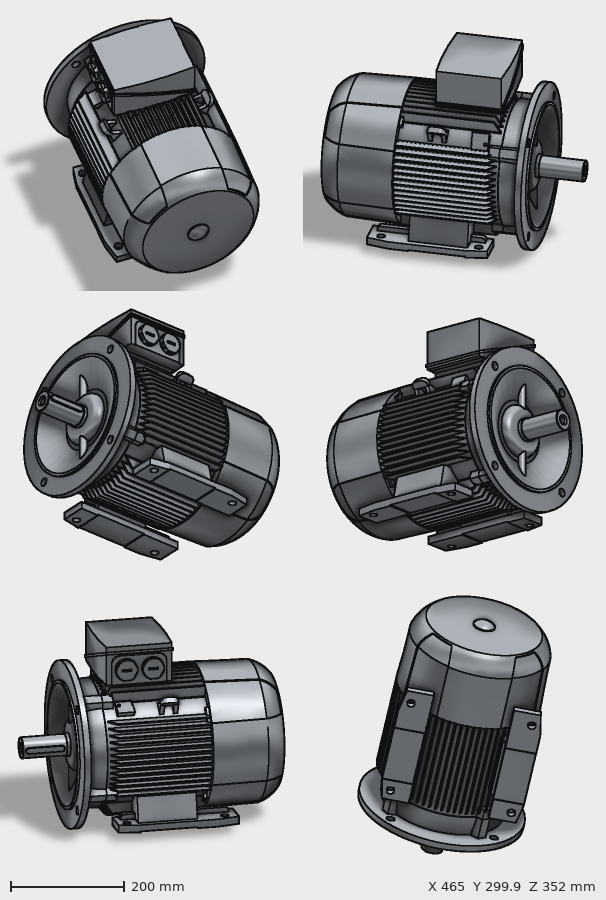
import cadquery as cq
import math


spigot_x = 76.0
flange_x = 80.0
flange_back_x = 92.0
housing_x = 130.5
cover_x = 320.0
cover_bend_x = 421.0
cover_end_x = 455.2
overall_length = 465.0

shaft_radius = 19.0
shoulder_radius = 21.0
centre_mouth_radius = 9.5
centre_hole_radius = 6.5
centre_hole_depth = 23.2
shaft_chamfer = 1.0
key_start_x = 4.5
key_end_x = 75.5
key_width = 10.0
key_bottom = 14.5
key_top = 22.5

flange_radius = 149.95
spigot_radius = 115.0
bowl_mouth_radius = 109.7
bowl_floor_radius = 57.0
bowl_floor_x = 102.5
boss_base_radius = 48.5
boss_face_radius = 33.0
boss_face_x = 86.5
neck_radius_front = 110.5
neck_radius_back = 116.0
neck_bulge_mid = (111.5, 114.5)
flange_hole_radius = 7.5
flange_hole_offset = 93.5
bowl_rib_radius = 7.0
bowl_rib_x = 95.0

lug_angle = 34.6
lug_radius = 125.5
lug_root_radius = 111.5
lug_top_width = 16.7
lug_base_width = 29.0
lug_end_x = 150.0

core_radius = 114.0
fin_tip_radius = 130.5
fin_thickness = 2.0
fin_pitch = 11.0
fins_per_side = 13
fin_start_x = 136.2
fin_full_x = 149.5
fin_root_radius = 79.0

eye_x = 248.0
eye_width = 33.0
eye_base_half = 14.0
eye_waist_half = 3.0
eye_tip_half = 5.5
eye_root_radius = 109.5
eye_waist_radius = 129.5
eye_tip_radius = 144.0
eye_corner_radius = 10.5
eye_opening_width = 17.5
eye_opening_top = 129.0

earth_tab_x = 154.5
earth_tab_length = 30.5
earth_tab_outline = [(-64.0, 96.0), (-96.3, 83.0), (-86.0, 72.5), (-56.0, 72.5)]
earth_screw_radius = 2.5
earth_screw_height = 2.0
earth_screw_x = 159.5
earth_screw_z = 90.0

clip_angle = 145.4
clip_length = 5.5
clip_width = 28.0
clip_root_radius = 107.0
clip_top_radius = 122.0

box_seat_x = 141.0
box_seat_length = 109.0
box_seat_half_width = 53.5
box_seat_top_z = 127.5

foot_start_x = 149.0
foot_end_x = 368.5
foot_top_z = -117.5
foot_thickness = 14.0
foot_inner_y = 72.5
foot_outer_y = 128.5
foot_tip_y = 121.0
foot_taper_front_x = 187.0
foot_taper_back_x = 328.0
foot_relief_end_x = 291.0
foot_relief = 2.0
foot_hole_radius = 7.0
foot_hole_x = 167.0
foot_hole_spacing = 178.0
foot_hole_y = 109.5
foot_rib_start_x = 160.0
foot_rib_end_x = 356.5
foot_rib_y = 85.5
foot_rib_width = 11.0
foot_rib_height = 9.5
foot_rib_round = 6.5
pedestal_start_x = 186.0
pedestal_end_x = 293.5
pedestal_top_z = -71.5
pedestal_top_y = 106.5
pedestal_bottom_y = 116.5
pedestal_inner_top_y = 56.0

cover_front_radius = 130.5
cover_bend_radius = 128.0
cover_end_radius = 105.0
cover_round_mid = (440.0, 119.0)
panel_edge = 57.5
panel_end_x = 452.0
panel_depth = 2.0
cap_radius = 19.5
cap_rim = 2.0

box_centre_x = 195.5
box_half_length = 59.5
box_side_bulge = 3.5
box_front_y = -83.2
box_back_y = 69.5
box_bottom_z = 131.5
box_top_z = 202.05
box_skirt_flare = 5.0
rim_overhang = 2.0
rim_thickness = 4.5
rim_front_z = 189.0
rim_back_z = 136.0
gland_plate_width = 100.5
gland_plate_top_z = 185.0
gland_plate_corner = 15.0
gland_plate_thickness = 1.5
plug_spacing = 48.5
plug_z = 159.5
plug_radius = 19.5
plug_collar = 3.5
plug_flats = 37.0
plug_head = 5.0
plug_slot_length = 17.0
plug_slot_width = 3.0
plug_slot_depth = 2.0


def revolved(profile):
    """Turn a half-profile drawn as (x, radius) about the shaft axis."""
    return profile.close().revolve(360, (0, 0, 0), (1, 0, 0))


def cylinder(start_x, end_x, radius):
    return cq.Workplane("YZ", origin=(start_x, 0, 0)).circle(radius).extrude(end_x - start_x)


def box(x_range, y_range, z_range):
    """Axis-aligned block between pairs of limits."""
    limits = (x_range, y_range, z_range)
    sizes = [high - low for low, high in limits]
    lows = tuple(low for low, high in limits)
    return cq.Workplane("XY").box(*sizes, centered=False).translate(lows)


def turned(shape, angle):
    """Turn a shape about the shaft axis, from +Y towards +Z."""
    return shape.rotate((0, 0, 0), (1, 0, 0), angle)


def mirrored_in_y(shape):
    return shape.mirror("XZ")


def make_key():
    length = key_end_x - key_start_x
    return (
        cq.Workplane("XZ", origin=((key_start_x + key_end_x) / 2, -key_bottom, 0))
        .slot2D(length, key_width)
        .extrude(key_top - key_bottom)
    )


def make_shaft():
    shaft = cylinder(0, flange_x, shaft_radius).faces("<X").chamfer(shaft_chamfer)
    shaft = shaft.union(cylinder(flange_x, housing_x, shoulder_radius))
    mouth_depth = centre_mouth_radius - centre_hole_radius
    centre_hole = revolved(
        cq.Workplane("XY")
        .moveTo(0, 0)
        .lineTo(0, centre_mouth_radius)
        .lineTo(mouth_depth, centre_hole_radius)
        .lineTo(centre_hole_depth, centre_hole_radius)
        .lineTo(centre_hole_depth + centre_hole_radius, 0)
    )
    return shaft.cut(centre_hole).cut(make_key())


def lugs(start_x, end_x):
    """Four tapered lugs, a quarter turn apart."""
    lug = (
        cq.Workplane("YZ", origin=(start_x, 0, 0))
        .moveTo(lug_root_radius, -lug_base_width / 2)
        .lineTo(lug_radius, -lug_top_width / 2)
        .lineTo(lug_radius, lug_top_width / 2)
        .lineTo(lug_root_radius, lug_base_width / 2)
        .close()
        .extrude(end_x - start_x)
    )
    ring = turned(lug, lug_angle)
    for quarter in range(1, 4):
        ring = ring.union(turned(lug, lug_angle + 90 * quarter))
    return ring


def bowl_ribs():
    """Two round bars, above and below the shaft, running from the boss into the bowl wall."""
    rib = (
        cq.Workplane("XY", origin=(bowl_rib_x, 0, boss_face_radius))
        .circle(bowl_rib_radius)
        .extrude(bowl_mouth_radius - boss_face_radius)
    )
    return rib.union(turned(rib, 180))


def make_shield():
    boss_rise = bowl_floor_x - boss_face_x
    boss_width = boss_base_radius - boss_face_radius
    boss_mid = (
        bowl_floor_x - boss_rise * math.sin(math.pi / 4),
        boss_face_radius + boss_width * math.cos(math.pi / 4),
    )
    shield = revolved(
        cq.Workplane("XY")
        .moveTo(boss_face_x, shoulder_radius)
        .lineTo(boss_face_x, boss_face_radius)
        .threePointArc(boss_mid, (bowl_floor_x, boss_base_radius))
        .lineTo(bowl_floor_x, bowl_floor_radius)
        .lineTo(spigot_x, bowl_mouth_radius)
        .lineTo(spigot_x, spigot_radius)
        .lineTo(flange_x, spigot_radius)
        .lineTo(flange_x, flange_radius)
        .lineTo(flange_back_x, flange_radius)
        .lineTo(flange_back_x, neck_radius_front)
        .threePointArc(neck_bulge_mid, (housing_x, neck_radius_back))
        .lineTo(housing_x, shoulder_radius)
    )
    bolt_holes = (
        cq.Workplane("YZ", origin=(flange_x, 0, 0))
        .rect(2 * flange_hole_offset, 2 * flange_hole_offset, forConstruction=True)
        .vertices()
        .circle(flange_hole_radius)
        .extrude(flange_back_x - flange_x)
    )
    shield = shield.union(lugs(flange_back_x, housing_x))
    return shield.cut(bolt_holes).union(bowl_ribs())


def fins():
    """Parallel fins on all four sides, trimmed to a round envelope with a tapered front."""
    last = (fins_per_side - 1) / 2 * fin_pitch
    comb = None
    for index in range(fins_per_side):
        middle = -last + index * fin_pitch
        limits = (middle - fin_thickness / 2, middle + fin_thickness / 2)
        for low in (-fin_tip_radius, fin_root_radius):
            reach = (low, low + fin_tip_radius - fin_root_radius)
            for y_range, z_range in ((reach, limits), (limits, reach)):
                fin = box((fin_start_x, cover_x), y_range, z_range)
                comb = fin if comb is None else comb.union(fin)
    envelope = revolved(
        cq.Workplane("XY")
        .moveTo(fin_start_x, 0)
        .lineTo(fin_start_x, core_radius)
        .lineTo(fin_full_x, fin_tip_radius)
        .lineTo(cover_x, fin_tip_radius)
        .lineTo(cover_x, 0)
    )
    return comb.intersect(envelope)


def lifting_eye():
    """Waisted wedge-shaped hoop standing out along +Y, before it is turned into place."""
    wedge = (
        cq.Workplane("YZ", origin=(eye_x - eye_width / 2, 0, 0))
        .moveTo(eye_root_radius, -eye_base_half)
        .lineTo(eye_waist_radius, -eye_waist_half)
        .lineTo(eye_tip_radius, -eye_tip_half)
        .lineTo(eye_tip_radius, eye_tip_half)
        .lineTo(eye_waist_radius, eye_waist_half)
        .lineTo(eye_root_radius, eye_base_half)
        .close()
        .extrude(eye_width)
    )
    arch = (
        cq.Workplane("XY", origin=(eye_x, 0, 0))
        .rect(eye_width, 2 * eye_tip_radius)
        .extrude(eye_base_half, both=True)
        .edges("|Z")
        .fillet(eye_corner_radius)
    )
    opening = (
        cq.Workplane("XY", origin=(eye_x, 0, 0))
        .rect(eye_opening_width, 2 * eye_opening_top)
        .extrude(eye_base_half, both=True)
        .edges("|Z")
        .fillet(0.3 * eye_opening_width)
    )
    return wedge.intersect(arch).cut(opening)


def earth_tab():
    """Sloping pad with a small screw in one corner."""
    tab = cq.Workplane("YZ", origin=(earth_tab_x, 0, 0)).polyline(earth_tab_outline).close()
    tab = tab.extrude(earth_tab_length)
    (inner_y, inner_z), (outer_y, outer_z) = earth_tab_outline[:2]
    slope = (outer_y - inner_y) / (outer_z - inner_z)
    screw_y = inner_y + (earth_screw_z - inner_z) * slope
    screw_plane = cq.Plane(
        origin=(earth_screw_x, screw_y, earth_screw_z), xDir=(1, 0, 0), normal=(0, -1, 1)
    )
    screw = cq.Workplane(screw_plane).circle(earth_screw_radius)
    return tab.union(screw.extrude(earth_screw_height, both=True))


def cover_clip():
    return box(
        (cover_x - clip_length, cover_x),
        (clip_root_radius, clip_top_radius),
        (-clip_width / 2, clip_width / 2),
    )


def foot():
    """Foot on the +Y side: tapered plate, pedestal up to the housing and a stiffening rib."""
    foot_bottom_z = foot_top_z - foot_thickness
    plate = (
        cq.Workplane("XY", origin=(0, 0, foot_bottom_z))
        .moveTo(foot_start_x, foot_inner_y)
        .lineTo(foot_start_x, foot_tip_y)
        .lineTo(foot_taper_front_x, foot_outer_y)
        .lineTo(foot_taper_back_x, foot_outer_y)
        .lineTo(foot_end_x, foot_tip_y)
        .lineTo(foot_end_x, foot_inner_y)
        .close()
        .extrude(foot_thickness)
    )
    relief = box(
        (foot_taper_front_x, foot_relief_end_x),
        (foot_inner_y, foot_outer_y),
        (foot_bottom_z, foot_bottom_z + foot_relief),
    )
    holes = (
        cq.Workplane("XY", origin=(0, 0, foot_bottom_z))
        .pushPoints([(foot_hole_x, foot_hole_y), (foot_hole_x + foot_hole_spacing, foot_hole_y)])
        .circle(foot_hole_radius)
        .extrude(foot_thickness)
    )
    rib = box(
        (foot_rib_start_x, foot_rib_end_x),
        (foot_rib_y - foot_rib_width / 2, foot_rib_y + foot_rib_width / 2),
        (foot_top_z, foot_top_z + foot_rib_height),
    )
    rib = rib.edges("|Y and >Z").fillet(foot_rib_round)
    pedestal = (
        cq.Workplane("YZ", origin=(pedestal_start_x, 0, 0))
        .moveTo(pedestal_inner_top_y, pedestal_top_z)
        .lineTo(pedestal_top_y, pedestal_top_z)
        .lineTo(pedestal_bottom_y, foot_top_z)
        .lineTo(foot_inner_y, foot_top_z)
        .close()
        .extrude(pedestal_end_x - pedestal_start_x)
    )
    return plate.cut(relief).cut(holes).union(rib).union(pedestal)


def make_housing():
    clear_fins = fins().cut(box_skirt())
    housing = cylinder(housing_x, cover_x, core_radius).union(clear_fins)
    housing = housing.union(lugs(housing_x, lug_end_x))
    for quarter in range(4):
        housing = housing.union(turned(lifting_eye(), 45 + 90 * quarter))
        housing = housing.union(turned(cover_clip(), clip_angle + 90 * quarter))
    for angle in (0, -90):
        housing = housing.union(turned(earth_tab(), angle))
    box_seat = box(
        (box_seat_x, box_seat_x + box_seat_length),
        (-box_seat_half_width, box_seat_half_width),
        (fin_root_radius, box_seat_top_z),
    )
    return housing.union(box_seat).union(foot()).union(mirrored_in_y(foot()))


def cover_turning(inset):
    """Round cover with a domed cap at its end; the side wall is moved inwards by the inset."""
    mid_x, mid_radius = cover_round_mid
    cap_rise = overall_length - cover_end_x - cap_rim
    dome_radius = (cap_radius**2 + cap_rise**2) / (2 * cap_rise)
    half_angle = math.asin(cap_radius / dome_radius) / 2
    dome_mid = (
        overall_length - dome_radius * (1 - math.cos(half_angle)),
        dome_radius * math.sin(half_angle),
    )
    return revolved(
        cq.Workplane("XY")
        .moveTo(cover_x, 0)
        .lineTo(cover_x, cover_front_radius - inset)
        .lineTo(cover_bend_x, cover_bend_radius - inset)
        .threePointArc((mid_x, mid_radius - inset), (cover_end_x, cover_end_radius - inset))
        .lineTo(cover_end_x, cap_radius)
        .lineTo(cover_end_x + cap_rim, cap_radius)
        .threePointArc(dome_mid, (overall_length, 0))
    )


def make_cover():
    """Cover with four shallow panels recessed between its flat-edged strips."""
    corner = box(
        (cover_x, panel_end_x),
        (panel_edge, cover_front_radius),
        (panel_edge, cover_front_radius),
    )
    panel = corner.cut(cover_turning(panel_depth))
    cover = cover_turning(0)
    for quarter in range(4):
        cover = cover.cut(turned(panel, 90 * quarter))
    return cover


def box_prism(overhang):
    """Full-height block with bulged ends, grown sideways by the overhang."""
    half = box_half_length + overhang
    front = box_front_y - overhang
    back = box_back_y + overhang
    middle = (front + back) / 2
    bulged = half + box_side_bulge
    return (
        cq.Workplane("XY", origin=(box_centre_x, 0, box_bottom_z))
        .moveTo(-half, front)
        .lineTo(half, front)
        .threePointArc((bulged, middle), (half, back))
        .lineTo(-half, back)
        .threePointArc((-bulged, middle), (-half, front))
        .close()
        .extrude(box_top_z - box_bottom_z)
    )


def sloping_slab(height):
    """Slab that rests on the sloping joint and reaches the given height above it."""
    front = box_front_y - rim_overhang
    back = box_back_y + rim_overhang
    length = 2 * (box_half_length + box_side_bulge + rim_overhang)
    return (
        cq.Workplane("YZ", origin=(box_centre_x - length / 2, 0, 0))
        .moveTo(front, rim_front_z)
        .lineTo(back, rim_back_z)
        .lineTo(back, rim_back_z + height)
        .lineTo(front, rim_front_z + height)
        .close()
        .extrude(length)
    )


def make_lid():
    upper = box_prism(0).intersect(sloping_slab(box_top_z - box_bottom_z))
    rim = box_prism(rim_overhang).intersect(sloping_slab(rim_thickness))
    return upper.union(rim)


def gland_plug(centre_x, plate_y):
    """Round collar with a slotted hexagonal head."""
    face = cq.Workplane("XZ", origin=(centre_x, plate_y, plug_z))
    collar = face.circle(plug_radius).extrude(plug_collar)
    head_length = plug_collar + plug_head
    hexagon = face.polygon(6, plug_flats / math.cos(math.pi / 6)).extrude(head_length)
    head = hexagon.intersect(face.circle(plug_radius).extrude(head_length))
    slot = (
        face.workplane(offset=head_length - plug_slot_depth)
        .rect(plug_slot_length, plug_slot_width)
        .extrude(plug_slot_depth)
    )
    return collar.union(head).cut(slot)


def box_skirt():
    """Flared skirt between the housing seat and the underside of the box."""
    height = box_bottom_z - box_seat_top_z
    return (
        cq.Workplane("XY", origin=(box_seat_x + box_seat_length / 2, 0, box_seat_top_z))
        .rect(box_seat_length, 2 * box_seat_half_width)
        .workplane(offset=height)
        .rect(box_seat_length + 2 * box_skirt_flare, 2 * (box_seat_half_width + box_skirt_flare))
        .loft(ruled=True)
    )


def make_terminal_box():
    terminal_box = box_prism(0).cut(sloping_slab(box_top_z - box_bottom_z))
    plate_y = box_front_y - gland_plate_thickness
    plate = box(
        (box_centre_x - gland_plate_width / 2, box_centre_x + gland_plate_width / 2),
        (plate_y, box_front_y),
        (box_bottom_z, gland_plate_top_z),
    )
    plate = plate.edges("|Y and >Z").fillet(gland_plate_corner)
    terminal_box = terminal_box.union(plate).union(box_skirt())
    for side in (-1, 1):
        plug = gland_plug(box_centre_x + side * plug_spacing / 2, plate_y)
        terminal_box = terminal_box.union(plug)
    return terminal_box


shaft = make_shaft()
key = make_key()
shield = make_shield()
housing = make_housing()
cover = make_cover()
terminal_box = make_terminal_box()
lid = make_lid()

result = cq.Compound.makeCompound(
    [
        shaft.val(),
        key.val(),
        shield.val(),
        housing.val(),
        cover.val(),
        terminal_box.val(),
        lid.val(),
    ]
)